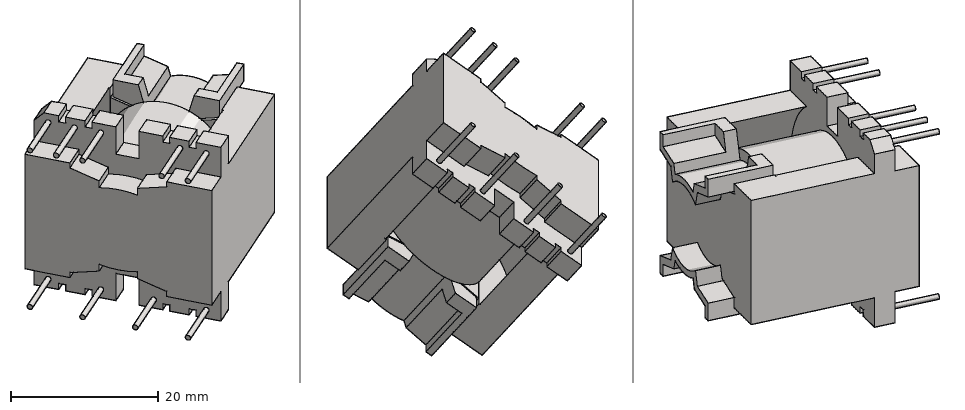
import cadquery as cq
import math


CLIP_BACK = 16.4
CORE_BACK = 12.65
CLIP_DEPTH = 9.75
CLIP_WALL_DEPTH = 1.95
CLIP_FRONT = CLIP_BACK - CLIP_DEPTH
WINDOW_BACK = 6.55
FLANGE_BACK = -5.85
FLANGE_FRONT = -8.95
CORE_FRONT = -12.6
PIN_TIP = -16.4

WIDTH = 27.0
CORE_HEIGHT = 19.05
CORE_FRONT_HEIGHT = 18.53
LEG_GAP = 16.43
LEG_BORE_RADIUS = 11.5
SLOPE = math.tan(math.radians(15.5))

RELIEF_HALF = 7.0
RELIEF_EDGE_Z = 8.45
RELIEF_CENTRE_HALF = 2.75
RELIEF_CENTRE_EDGE_Z = 6.2
RELIEF_CENTRE_MID_Z = 6.5

TUBE_INNER_RADIUS = 6.23
TUBE_OUTER_RADIUS = 7.2
WINDING_RADIUS = 8.85
CLIP_HALF = 7.7
CLIP_TOP_Z = 10.85
CLIP_PLATE = 1.02
CLIP_UNDERSIDE_Z = 8.15
RAMP_RISE = 1.18
INNER_FOOT_X = 2.85
OUTER_FOOT_X = 3.67
CLIP_RECESS_HALF = 8.07
CLIP_CLEARANCE = 0.3

FLANGE_HEIGHT = 28.1
CHAMFER_X = 1.45
CHAMFER_Z = 1.55
WIRE_SLOT_WIDTH = 3.3
WIRE_SLOT_FLOOR_Z = 9.65
NOTCH_WIDTH = 1.0
NOTCH_DEPTH = 1.0
NOTCH_CENTRES = (5.6, 9.4)

PIN_DIAMETER = 0.8
PIN_PITCH = 3.8
PIN_Z = 12.65
TOP_PIN_STEPS = (-3, -2, -1, 2, 3)
BOTTOM_PIN_STEPS = (-3, -1, 1, 3)


def sketch_at(y):
    """XZ sketch plane at station y; positive extrusion runs toward -Y."""
    return cq.Workplane("XZ", origin=(0, y, 0))


def block(width, height, y_back, y_front):
    return sketch_at(y_back).rect(width, height).extrude(y_back - y_front)


def cylinder(radius, y_back, y_front, x=0):
    return sketch_at(y_back).center(x, 0).circle(radius).extrude(y_back - y_front)


def left(right_points):
    """Mirror right-hand points across X = 0, listed in reverse order."""
    return [(-x, z) for x, z in reversed(right_points)]


def line_through(profile, points):
    """Continue the profile with straight lines through the points."""
    for point in points:
        profile = profile.lineTo(*point)
    return profile


def arched_prism(y_back, y_front, right_side, arc_mid_z, underside=(), under_mid_z=0.0):
    """Symmetric prism whose right side ends where an arc crosses to the left.

    The optional underside lists right-hand points from the outer edge inward,
    and is closed by a second arc across X = 0.
    """
    left_side = left(right_side)
    profile = sketch_at(y_back).polyline(right_side).threePointArc((0, arc_mid_z), left_side[0])
    profile = line_through(profile, left_side[1:])
    if underside:
        outward = underside[::-1]
        profile = line_through(profile, left(outward))
        profile = profile.threePointArc((0, under_mid_z), outward[0])
        profile = line_through(profile, outward[1:])
    return profile.close().extrude(y_back - y_front)


def both_sides(solid):
    """The solid together with its mirror image below Z = 0."""
    return solid.union(solid.mirror("XY"))


def core_relief():
    """Stepped, sloping relief cut into the core in front of the flange."""
    slope_foot_z = RELIEF_EDGE_Z - SLOPE * (RELIEF_HALF - RELIEF_CENTRE_HALF)
    side = [
        (RELIEF_HALF, CORE_HEIGHT),
        (RELIEF_HALF, RELIEF_EDGE_Z),
        (RELIEF_CENTRE_HALF, slope_foot_z),
        (RELIEF_CENTRE_HALF, RELIEF_CENTRE_EDGE_Z),
    ]
    return arched_prism(FLANGE_FRONT, CORE_FRONT, side, RELIEF_CENTRE_MID_Z)


def slope_corner(axis_z, foot):
    """Corner where a slope meets the wall square to it that rises from foot.

    axis_z is the height at which the slope would cross X = 0.
    """
    foot_x, foot_z = foot
    z = (axis_z + SLOPE * (foot_x - SLOPE * foot_z)) / (1 - SLOPE**2)
    return (foot_x + SLOPE * (z - foot_z), z)


def underside_points(clearance, half_width):
    """Right half of the clip underside, from its outer edge to the tube bore."""
    foot = (OUTER_FOOT_X, math.sqrt(TUBE_INNER_RADIUS**2 - OUTER_FOOT_X**2))
    axis_z = CLIP_UNDERSIDE_Z - clearance - SLOPE * CLIP_HALF
    edge = (half_width, axis_z + SLOPE * half_width)
    return [edge, slope_corner(axis_z, foot), foot]


def clip_recess():
    """Recess in the back of the core that receives the clip."""
    side = [(CLIP_RECESS_HALF, CORE_HEIGHT)] + underside_points(CLIP_CLEARANCE, CLIP_RECESS_HALF)
    return arched_prism(CORE_BACK, CLIP_FRONT, side, TUBE_INNER_RADIUS)


def core():
    """Core with a winding window between two legs whose inner faces are hollowed by bores."""
    body = block(WIDTH, CORE_HEIGHT, CORE_BACK, FLANGE_FRONT)
    body = body.union(block(WIDTH, CORE_FRONT_HEIGHT, FLANGE_FRONT, CORE_FRONT))
    bore_offset = LEG_GAP / 2 - math.sqrt(LEG_BORE_RADIUS**2 - (CORE_HEIGHT / 2) ** 2)
    for x in (bore_offset, -bore_offset):
        body = body.cut(cylinder(LEG_BORE_RADIUS, WINDOW_BACK, FLANGE_BACK, x))
    body = body.cut(block(LEG_GAP, CORE_HEIGHT, WINDOW_BACK, FLANGE_BACK))
    body = body.cut(block(2 * CLIP_RECESS_HALF, CORE_HEIGHT, CLIP_FRONT, WINDOW_BACK))
    return body.cut(both_sides(core_relief())).cut(both_sides(clip_recess()))


def clip():
    """Clip at the back: ramped channel with an end wall next to the winding."""
    tube_foot = (INNER_FOOT_X, math.sqrt(TUBE_OUTER_RADIUS**2 - INNER_FOOT_X**2))
    ramp_axis_z = CLIP_UNDERSIDE_Z - SLOPE * CLIP_HALF + RAMP_RISE
    ramp_top_x = CLIP_HALF - CLIP_PLATE
    channel = [
        (CLIP_HALF, CLIP_TOP_Z),
        (ramp_top_x, CLIP_TOP_Z),
        (ramp_top_x, ramp_axis_z + SLOPE * ramp_top_x),
        slope_corner(ramp_axis_z, tube_foot),
        tube_foot,
    ]
    wall_top_x = INNER_FOOT_X + SLOPE * (CLIP_TOP_Z - tube_foot[1])
    wall = [(CLIP_HALF, CLIP_TOP_Z), (wall_top_x, CLIP_TOP_Z), tube_foot]
    wall_back = CLIP_FRONT + CLIP_WALL_DEPTH
    underside = underside_points(0, CLIP_HALF)
    channel_part = arched_prism(
        CLIP_BACK, wall_back, channel, TUBE_OUTER_RADIUS, underside, TUBE_INNER_RADIUS
    )
    wall_part = arched_prism(
        wall_back, CLIP_FRONT, wall, TUBE_OUTER_RADIUS, underside, TUBE_INNER_RADIUS
    )
    return channel_part.union(wall_part)


def flange():
    thickness = FLANGE_BACK - FLANGE_FRONT
    plate = block(WIDTH, FLANGE_HEIGHT, FLANGE_BACK, FLANGE_FRONT)
    top = FLANGE_HEIGHT / 2
    edge_x = -WIDTH / 2
    corner = [(edge_x, top), (edge_x + CHAMFER_X, top), (edge_x, top - CHAMFER_Z)]
    plate = plate.cut(sketch_at(FLANGE_BACK).polyline(corner).close().extrude(thickness))

    slot_depth = top - WIRE_SLOT_FLOOR_Z
    cuts = [(0, WIRE_SLOT_WIDTH, slot_depth)]
    for x in NOTCH_CENTRES:
        cuts += [(x, NOTCH_WIDTH, NOTCH_DEPTH), (-x, NOTCH_WIDTH, NOTCH_DEPTH)]
    for x, width, depth in cuts:
        rectangles = sketch_at(FLANGE_BACK).pushPoints([(x, top), (x, -top)]).rect(width, 2 * depth)
        plate = plate.cut(rectangles.extrude(thickness))
    return plate


def pins():
    places = [(PIN_PITCH * step, PIN_Z) for step in TOP_PIN_STEPS]
    places += [(PIN_PITCH * step, -PIN_Z) for step in BOTTOM_PIN_STEPS]
    length = FLANGE_FRONT - PIN_TIP
    return sketch_at(FLANGE_FRONT).pushPoints(places).circle(PIN_DIAMETER / 2).extrude(length)


winding = cylinder(WINDING_RADIUS, CLIP_FRONT, FLANGE_BACK)
result = core().union(winding).union(flange()).union(both_sides(clip())).union(pins())